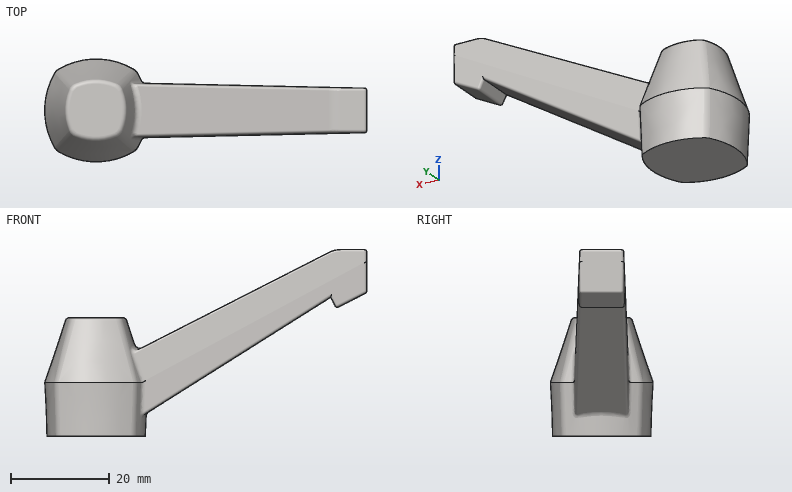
import cadquery as cq
import math


HEAD_WIDTH = 20.95
HEAD_HEIGHT = 24.15
BELT_HEIGHT = 11.0
SIDE_RADIUS = 15.0
LOWER_DRAFT = 2.3
UPPER_DRAFT = 18.6
CORNER_RADIUS = 4.9 / 2
CROWN_RADIUS = 1.0

TOTAL_LENGTH = 65.5
TOTAL_HEIGHT = 38.0
TOP_SLOPE = 27.0
TOP_BEND_X = 48.45
TOP_BEND_RADIUS = 5.0
TIP_BOTTOM_Z = 29.2
HOOK_X = 48.8
HOOK_DEPTH = 2.5
UNDERSIDE_SLOPE = 32.2
BURIED_END_X = 3.9
PARTING_START_X = 9.4
PARTING_SLOPE = 28.3
ROOT_WIDTH = 11.1
TIP_WIDTH = 9.1
LEVER_DRAFT = 2.0
EDGE_RADIUS = 0.5
ROOT_RADIUS = 1.0

TIP_X = TOTAL_LENGTH - HEAD_WIDTH / 2
OVERRUN = 19.65
TOLERANCE = 0.005


def rise(slope, run):
    """Distance gained over a run at a slope given in degrees."""
    return run * math.tan(math.radians(slope))


def bulged_square(height, growth):
    """Outline of four arcs at a height: the belt section with its sides offset by `growth`."""
    reach = HEAD_WIDTH / 2 + growth
    radius = SIDE_RADIUS + growth
    arc_center = radius - reach
    corner = (math.sqrt(2 * radius**2 - arc_center**2) - arc_center) / 2
    return (
        cq.Workplane("XY", origin=(0, 0, height))
        .moveTo(corner, corner)
        .threePointArc((0, reach), (-corner, corner))
        .threePointArc((-reach, 0), (-corner, -corner))
        .threePointArc((0, -reach), (corner, -corner))
        .threePointArc((reach, 0), (corner, corner))
        .close()
    )


def round_corners(head):
    """Fillet the four upright edges."""
    upright = head.edges().filter(lambda edge: edge.BoundingBox().zlen > TOLERANCE)
    return upright.fillet(CORNER_RADIUS)


def upper_head():
    """Upper taper of the head, carried on down to the base."""
    base = bulged_square(0, rise(UPPER_DRAFT, BELT_HEIGHT))
    head = round_corners(base.extrude(HEAD_HEIGHT, taper=UPPER_DRAFT))
    return head.faces(">Z").edges().fillet(CROWN_RADIUS)


def lower_head():
    """Lower taper of the head, carried on up to the crown."""
    crown = bulged_square(HEAD_HEIGHT, rise(LOWER_DRAFT, HEAD_HEIGHT - BELT_HEIGHT))
    return round_corners(crown.extrude(-HEAD_HEIGHT, taper=LOWER_DRAFT))


def lever_profile():
    """Side outline of the lever, as a slab wider than the lever."""
    hook_z = TIP_BOTTOM_Z - rise(TOP_SLOPE, TIP_X - HOOK_X)
    notch_x = HOOK_X - HOOK_DEPTH * math.sin(math.radians(TOP_SLOPE))
    notch_z = hook_z + HOOK_DEPTH * math.cos(math.radians(TOP_SLOPE))
    outline = [
        (BURIED_END_X, TOTAL_HEIGHT - rise(TOP_SLOPE, TOP_BEND_X - BURIED_END_X)),
        (TOP_BEND_X, TOTAL_HEIGHT),
        (TIP_X, TOTAL_HEIGHT),
        (TIP_X, TIP_BOTTOM_Z),
        (HOOK_X, hook_z),
        (notch_x, notch_z),
        (BURIED_END_X, notch_z - rise(UNDERSIDE_SLOPE, notch_x - BURIED_END_X)),
    ]
    slab = cq.Workplane("XZ").polyline(outline).close().extrude(ROOT_WIDTH, both=True)
    bend = cq.selectors.NearestToPointSelector((TOP_BEND_X, 0, TOTAL_HEIGHT))
    return slab.edges("|Y").edges(bend).fillet(TOP_BEND_RADIUS)


def lever_flanks(direction):
    """Bar that narrows towards the tip, drafted upward (direction 1) or downward (-1)."""
    cosine = math.cos(math.radians(PARTING_SLOPE))
    sine = math.sin(math.radians(PARTING_SLOPE))
    length = (TIP_X - PARTING_START_X) / cosine
    narrowing = (ROOT_WIDTH - TIP_WIDTH) / 2 / length
    draft_growth = rise(LEVER_DRAFT, OVERRUN)
    root_half = ROOT_WIDTH / 2 + narrowing * OVERRUN + draft_growth
    tip_half = TIP_WIDTH / 2 - narrowing * OVERRUN + draft_growth
    outline = [
        (-OVERRUN, -root_half),
        (length + OVERRUN, -tip_half),
        (length + OVERRUN, tip_half),
        (-OVERRUN, root_half),
    ]
    parting_plane = cq.Plane(
        origin=(PARTING_START_X, 0, BELT_HEIGHT),
        xDir=(cosine, 0, sine),
        normal=(-sine, 0, cosine),
    )
    return (
        cq.Workplane(parting_plane)
        .workplane(offset=-direction * OVERRUN)
        .polyline(outline)
        .close()
        .extrude(direction * 2 * OVERRUN, taper=LEVER_DRAFT)
    )


def lever(direction):
    """Lever with flanks of a single draft direction and rounded outer edges."""
    body = lever_profile().intersect(lever_flanks(direction))

    def is_outer_edge(edge):
        box = edge.BoundingBox()
        if box.xmax < BURIED_END_X + TOLERANCE:
            return False
        if box.xlen > TOLERANCE or box.zlen > TOLERANCE:
            return True
        return box.xmax > TIP_X - TOLERANCE or abs(box.xmax - HOOK_X) < TOLERANCE

    return body.edges().filter(is_outer_edge).fillet(EDGE_RADIUS)


def join_with_root_fillet(head, arm):
    """Union of head and arm, filleted along the line where their surfaces meet."""
    shells = [head.val().Shells()[0], arm.val().Shells()[0]]

    def is_root_edge(edge):
        middle = cq.Vertex.makeVertex(*edge.positionAt(0.5).toTuple())
        return all(middle.distance(shell) < TOLERANCE for shell in shells)

    return head.union(arm).edges().filter(is_root_edge).fillet(ROOT_RADIUS)


def space_above_parting():
    """Block that covers everything above the parting surface."""
    back_x = -HEAD_WIDTH / 2 - OVERRUN
    front_x = TIP_X + OVERRUN
    front_z = BELT_HEIGHT + rise(PARTING_SLOPE, front_x - PARTING_START_X)
    outline = [
        (back_x, BELT_HEIGHT),
        (PARTING_START_X, BELT_HEIGHT),
        (front_x, front_z),
        (front_x, front_z + OVERRUN),
        (back_x, front_z + OVERRUN),
    ]
    return cq.Workplane("XZ").polyline(outline).close().extrude(HEAD_WIDTH, both=True)


above_parting = space_above_parting()
upper_half = join_with_root_fillet(upper_head(), lever(1)).intersect(above_parting)
lower_half = join_with_root_fillet(lower_head(), lever(-1)).cut(above_parting)
result = upper_half.union(lower_half)